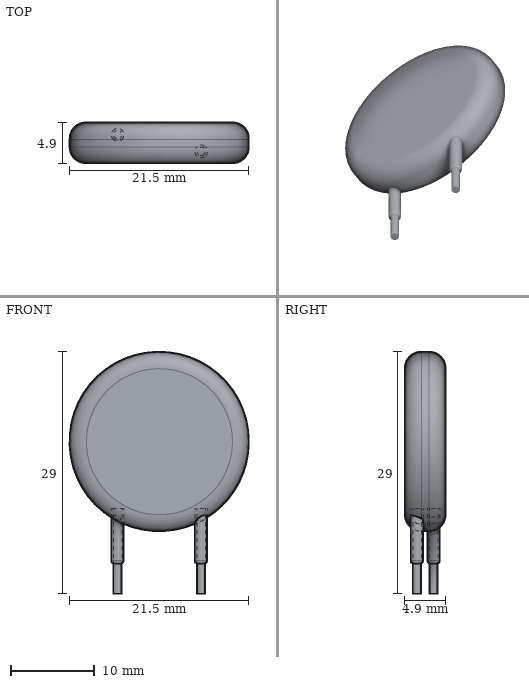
import cadquery as cq

DISC_DIAMETER = 21.5
DISC_THICKNESS = 4.9
RIM_RADIUS = 2.0

LEAD_PITCH = 10.0
LEAD_STAGGER = 2.0
OVERALL_HEIGHT = 29.0
LEAD_BOTTOM = DISC_DIAMETER / 2 - OVERALL_HEIGHT
LEAD_TOP = -8.0

WIRE_DIAMETER = 1.0
SLEEVE_DIAMETER = 1.5
BARE_WIRE_LENGTH = 3.6
SLEEVE_BOTTOM = LEAD_BOTTOM + BARE_WIRE_LENGTH
SLEEVE_END_RADIUS = 0.4

LEAD_POSITIONS = [
    (-LEAD_PITCH / 2, LEAD_STAGGER / 2),
    (LEAD_PITCH / 2, -LEAD_STAGGER / 2),
]


def make_rod(position, diameter, bottom, top):
    """Plain vertical cylinder between two heights."""
    return (
        cq.Workplane("XY", origin=(*position, bottom))
        .circle(diameter / 2)
        .extrude(top - bottom)
    )


def make_wire(position):
    """Bare wire running through its sleeve."""
    return make_rod(position, WIRE_DIAMETER, LEAD_BOTTOM, LEAD_TOP)


def make_sleeve(position):
    """Insulating tube with a rounded lower outer edge, bored to fit the wire."""
    outer = make_rod(position, SLEEVE_DIAMETER, SLEEVE_BOTTOM, LEAD_TOP)
    rounded = outer.faces("<Z").edges().fillet(SLEEVE_END_RADIUS)
    return rounded.cut(make_rod(position, WIRE_DIAMETER, SLEEVE_BOTTOM, LEAD_TOP))


def make_disc():
    """Rounded disc with a blind hole for each sleeved lead."""
    disc = (
        cq.Workplane("XZ", origin=(0, DISC_THICKNESS / 2, 0))
        .circle(DISC_DIAMETER / 2)
        .extrude(DISC_THICKNESS)
        .faces("<Y or >Y")
        .edges()
        .fillet(RIM_RADIUS)
    )
    for position in LEAD_POSITIONS:
        disc = disc.cut(make_rod(position, SLEEVE_DIAMETER, SLEEVE_BOTTOM, LEAD_TOP))
    return disc


disc = make_disc()
sleeves = [make_sleeve(position) for position in LEAD_POSITIONS]
wires = [make_wire(position) for position in LEAD_POSITIONS]

result = cq.Compound.makeCompound([body.val() for body in [disc, *sleeves, *wires]])